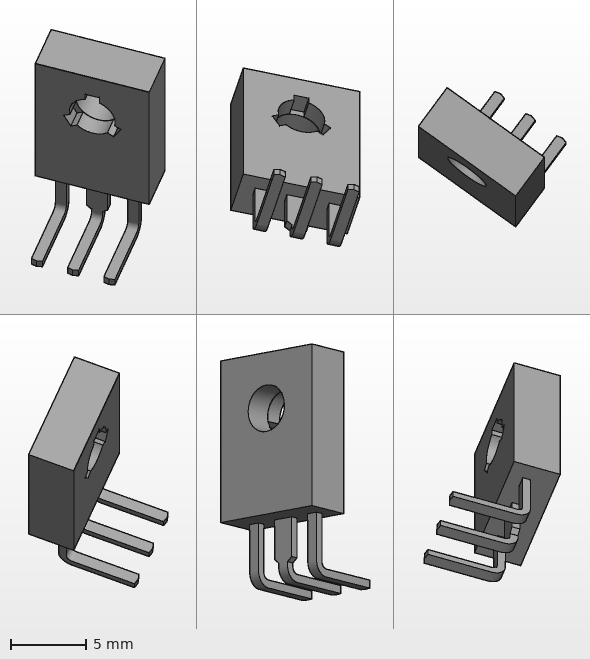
import cadquery as cq

BODY_WIDTH = 8.0
BODY_DEPTH = 3.25
BODY_HEIGHT = 11.0
TOP_EDGE_CHAMFER = 0.02

HOLE_TO_TOP = 3.8
HOLE_DIAMETER = 3.16
MOUTH_DIAMETER = 3.2
MOUTH_DEPTH = 1.25

SLOT_COUNT = 3
SLOT_WIDTH = 1.0
SLOT_REACH = 2.02

LEAD_PITCH = 2.54
LEAD_COUNT = 3
LEAD_WIDTH = 0.78
LEAD_THICKNESS = 0.55
LEAD_BACK_OFFSET = 1.72
LEAD_DROP = 4.25
BEND_INNER_RADIUS = 0.45
FOOT_TIP_OFFSET = 7.26
TIP_POINT = 0.1

SHOULDER_WIDTH = 1.5
SHOULDER_LENGTH = 2.7
TAPER_LENGTH = 0.3

front_y = -BODY_DEPTH
hole_z = BODY_HEIGHT - HOLE_TO_TOP
lead_back_y = -LEAD_BACK_OFFSET
lead_front_y = lead_back_y - LEAD_THICKNESS
tip_y = -FOOT_TIP_OFFSET


def make_body():
    """Rectangular block with a small chamfer on its top front edge."""
    body = cq.Workplane("XY").box(
        BODY_WIDTH, BODY_DEPTH, BODY_HEIGHT, centered=(True, True, False)
    )
    body = body.translate((0, -BODY_DEPTH / 2, 0))
    return body.faces(">Z").edges("<Y").chamfer(TOP_EDGE_CHAMFER)


def make_hole_cutter():
    """Through hole, its wider mouth and the key slots, all entering from the front."""
    face = cq.Workplane("XZ", origin=(0, front_y, hole_z))
    cutter = face.circle(HOLE_DIAMETER / 2).extrude(-BODY_DEPTH)
    cutter = cutter.union(face.circle(MOUTH_DIAMETER / 2).extrude(-MOUTH_DEPTH))
    slot = face.center(0, SLOT_REACH / 2).rect(SLOT_WIDTH, SLOT_REACH).extrude(-MOUTH_DEPTH)
    axis_start = (0, 0, hole_z)
    axis_end = (0, 1, hole_z)
    for index in range(SLOT_COUNT):
        angle = index * 360 / SLOT_COUNT
        cutter = cutter.union(slot.rotate(axis_start, axis_end, angle))
    return cutter


def make_lead():
    """Bent strip whose foot ends in a shallow vertical ridge."""
    strip = (
        cq.Workplane("YZ")
        .moveTo(lead_back_y, 0)
        .lineTo(lead_back_y, -LEAD_DROP)
        .lineTo(tip_y, -LEAD_DROP)
        .lineTo(tip_y, -LEAD_DROP + LEAD_THICKNESS)
        .lineTo(lead_front_y, -LEAD_DROP + LEAD_THICKNESS)
        .lineTo(lead_front_y, 0)
        .close()
        .extrude(LEAD_WIDTH / 2, both=True)
    )
    outer_radius = BEND_INNER_RADIUS + LEAD_THICKNESS
    inner_corner = (0, lead_front_y, -LEAD_DROP + LEAD_THICKNESS)
    outer_corner = (0, lead_back_y, -LEAD_DROP)
    strip = strip.edges(cq.selectors.NearestToPointSelector(inner_corner)).fillet(BEND_INNER_RADIUS)
    strip = strip.edges(cq.selectors.NearestToPointSelector(outer_corner)).fillet(outer_radius)

    half_width = LEAD_WIDTH / 2
    plan = (
        cq.Workplane("XY", origin=(0, 0, -LEAD_DROP))
        .moveTo(-half_width, lead_back_y)
        .lineTo(-half_width, tip_y + TIP_POINT)
        .lineTo(0, tip_y)
        .lineTo(half_width, tip_y + TIP_POINT)
        .lineTo(half_width, lead_back_y)
        .close()
        .extrude(LEAD_DROP)
    )
    return strip.intersect(plan)


def make_shoulder():
    """Wide stretch at the top of the middle lead, tapering to the lead width."""
    return (
        cq.Workplane("XZ", origin=(0, lead_back_y, 0))
        .moveTo(-SHOULDER_WIDTH / 2, 0)
        .lineTo(-SHOULDER_WIDTH / 2, -SHOULDER_LENGTH)
        .lineTo(-LEAD_WIDTH / 2, -SHOULDER_LENGTH - TAPER_LENGTH)
        .lineTo(LEAD_WIDTH / 2, -SHOULDER_LENGTH - TAPER_LENGTH)
        .lineTo(SHOULDER_WIDTH / 2, -SHOULDER_LENGTH)
        .lineTo(SHOULDER_WIDTH / 2, 0)
        .close()
        .extrude(LEAD_THICKNESS)
    )


result = make_body().cut(make_hole_cutter())
lead = make_lead()
for index in range(LEAD_COUNT):
    lead_x = (index - (LEAD_COUNT - 1) / 2) * LEAD_PITCH
    result = result.union(lead.translate((lead_x, 0, 0)))
result = result.union(make_shoulder())